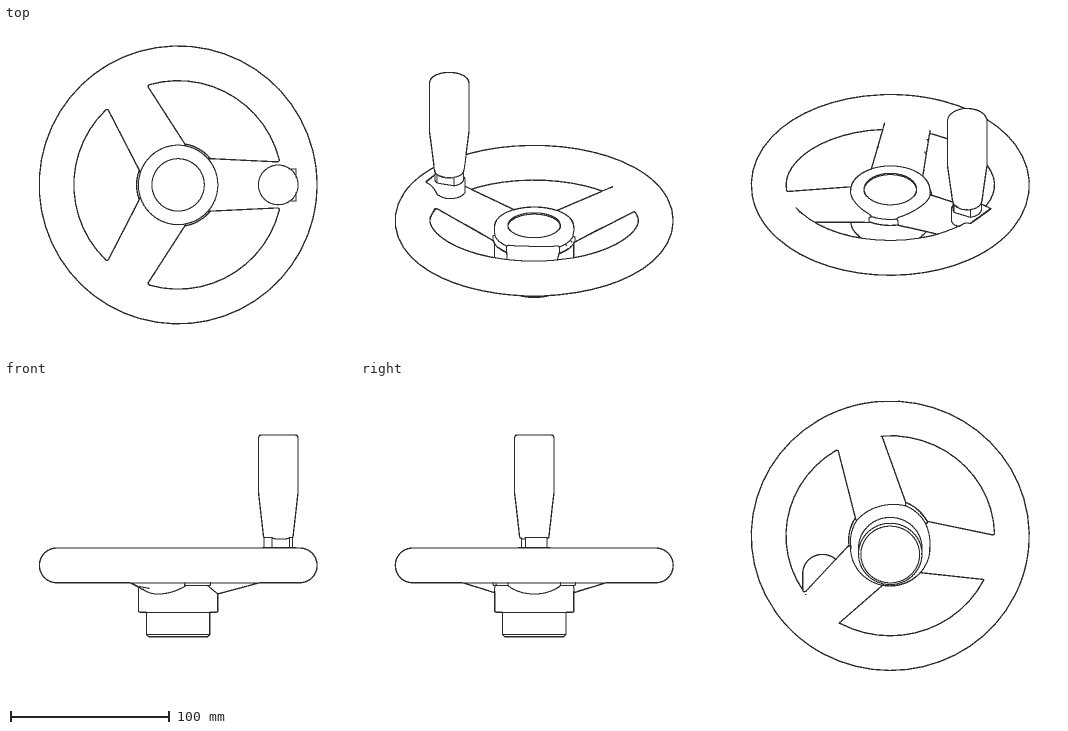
import cadquery as cq
RIM_RADIUS = 76.5
RIM_TUBE_RADIUS = 11.0
RIM_HEIGHT = 45.0
RIM_TOP = RIM_HEIGHT + RIM_TUBE_RADIUS

SLEEVE_DIAMETER = 40.0
SLEEVE_HEIGHT = 15.5
SLEEVE_CHAMFER = 1.5
HUB_DIAMETER = 50.0
HUB_TOP = 41.7
HUB_FILLET = 1.0
COLLAR_DIAMETER = 52.4
COLLAR_BOTTOM = 32.2
COLLAR_TOP = 36.6
COLLAR_FILLET = 1.0
RECESS_DIAMETER = 33.0
RECESS_DEPTH = 1.0

SPOKE_COUNT = 3
SPOKE_INNER_END = 18.0
SPOKE_OUTER_END = 72.0
SPOKE_EDGE_FILLET = 1.7
SPOKE_RIM_FILLET = 1.0

SEAM_START_X = 60.0
SEAM_HALF_WIDTH = 16.0

SPOKE_INNER_SECTION = (16.7, 38.2, 37.4, 32.2, 25.1)
SPOKE_OUTER_SECTION = (14.1, 53.4, 47.8, 44.0, 39.5)

HANDLE_X = 63.0
PAD_RADIUS = 10.0
PAD_END_X = 74.0
PAD_TOP = RIM_TOP + 0.4
PAD_EDGE_FILLET = 0.5
NECK_DIAMETER = 18.0
NECK_ACROSS_FLATS = 14.0
NECK_TURN = 13.0
NECK_OVERLAP = 1.0
GRIP_BOTTOM = 61.7
GRIP_FOOT_FILLET = 2.0
GRIP_FOOT_RADIUS = 9.2
GRIP_TAPER_TOP = 90.6
GRIP_RADIUS = 12.5
GRIP_TOP = 127.1
GRIP_TOP_FILLET = 2.0


def make_rim():
    torus = cq.Solid.makeTorus(RIM_RADIUS, RIM_TUBE_RADIUS)
    return cq.Workplane(obj=torus.moved(cq.Location(cq.Vector(0, 0, RIM_HEIGHT))))


def make_disc(diameter, bottom, top):
    return cq.Workplane("XY").workplane(offset=bottom).circle(diameter / 2).extrude(top - bottom)


def make_hub():
    body = make_disc(HUB_DIAMETER, SLEEVE_HEIGHT, HUB_TOP).edges().fillet(HUB_FILLET)
    sleeve = make_disc(SLEEVE_DIAMETER, 0, SLEEVE_HEIGHT + HUB_FILLET).faces("<Z").chamfer(SLEEVE_CHAMFER)
    collar = make_disc(COLLAR_DIAMETER, COLLAR_BOTTOM, COLLAR_TOP).edges().fillet(COLLAR_FILLET)
    return body.union(sleeve).union(collar)


def spoke_section(x, section):
    half_width, crown, upper_edge, lower_edge, keel = section
    return (
        cq.Workplane("YZ", origin=(x, 0, 0))
        .moveTo(-half_width, lower_edge)
        .lineTo(-half_width, upper_edge)
        .threePointArc((0, crown), (half_width, upper_edge))
        .lineTo(half_width, lower_edge)
        .threePointArc((0, keel), (-half_width, lower_edge))
        .close()
        .val()
    )


def make_spoke():
    sections = [
        spoke_section(SPOKE_INNER_END, SPOKE_INNER_SECTION),
        spoke_section(SPOKE_OUTER_END, SPOKE_OUTER_SECTION),
    ]
    bar = cq.Workplane(obj=cq.Solid.makeLoft(sections, True))
    return bar.edges("not(<X or >X)").fillet(SPOKE_EDGE_FILLET)


def add_spoke(wheel, spoke):
    joined = wheel.union(spoke)
    seam_zone = cq.selectors.BoxSelector(
        (SEAM_START_X, -SEAM_HALF_WIDTH, RIM_HEIGHT - RIM_TUBE_RADIUS),
        (SPOKE_OUTER_END, SEAM_HALF_WIDTH, RIM_TOP),
    )
    return joined.edges(seam_zone).fillet(SPOKE_RIM_FILLET)


def make_wheel():
    wheel = make_rim().union(make_hub())
    spoke = make_spoke()
    for _ in range(SPOKE_COUNT):
        wheel = add_spoke(wheel, spoke).rotate((0, 0, 0), (0, 0, 1), 360 / SPOKE_COUNT)
    return wheel.cut(make_disc(RECESS_DIAMETER, HUB_TOP - RECESS_DEPTH, HUB_TOP))


def make_pad():
    return (
        cq.Workplane("XY")
        .workplane(offset=RIM_HEIGHT)
        .moveTo(PAD_END_X, -PAD_RADIUS)
        .lineTo(PAD_END_X, PAD_RADIUS)
        .lineTo(HANDLE_X, PAD_RADIUS)
        .threePointArc((HANDLE_X - PAD_RADIUS, 0), (HANDLE_X, -PAD_RADIUS))
        .close()
        .extrude(PAD_TOP - RIM_HEIGHT)
        .faces(">Z")
        .edges("not >X")
        .fillet(PAD_EDGE_FILLET)
    )


def make_neck():
    height = GRIP_BOTTOM + NECK_OVERLAP - PAD_TOP
    flats = (
        cq.Workplane("XY")
        .rect(NECK_DIAMETER, NECK_ACROSS_FLATS)
        .extrude(height)
        .rotate((0, 0, 0), (0, 0, 1), NECK_TURN)
    )
    neck = make_disc(NECK_DIAMETER, 0, height).intersect(flats)
    return neck.translate((HANDLE_X, 0, PAD_TOP))


def make_grip():
    grip = (
        cq.Workplane("XZ")
        .moveTo(0, GRIP_BOTTOM)
        .lineTo(GRIP_FOOT_RADIUS, GRIP_BOTTOM)
        .lineTo(GRIP_RADIUS, GRIP_TAPER_TOP)
        .lineTo(GRIP_RADIUS, GRIP_TOP)
        .lineTo(0, GRIP_TOP)
        .close()
        .revolve()
        .faces("<Z")
        .edges()
        .fillet(GRIP_FOOT_FILLET)
        .faces(">Z")
        .edges()
        .fillet(GRIP_TOP_FILLET)
    )
    return grip.translate((HANDLE_X, 0, 0))


result = make_wheel().union(make_pad()).union(make_neck()).union(make_grip())